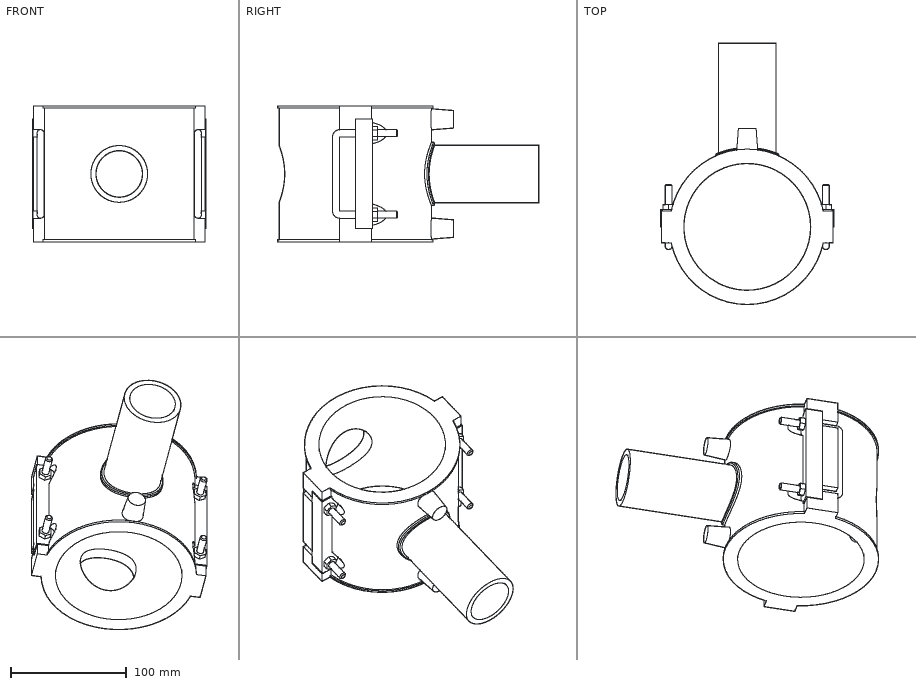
import cadquery as cq
import math

height = 118.0
bore_diameter = 109.5
body_diameter = 132.0
lip_diameter = 134.7
lip_height = 2.0

overall_length = 226.3
branch_end = overall_length - lip_diameter / 2
branch_diameter = 50.0
branch_bore_diameter = 40.0
collar_diameter = 55.0
collar_rise = 2.7
collar_chamfer = 1.0
window_diameter = 49.0

peg_end = 85.0
peg_tip_diameter = 15.5
peg_taper = 4.5
peg_offset = 47.3

ear_width = 148.7
ear_depth = 13.8
plate_width = 150.0
plate_depth = 15.0
plate_height = 94.8

rod_diameter = 6.0
rod_radius = rod_diameter / 2
bend_radius = 3.2
bridge_overlap = 0.2
bolt_x = 68.1
bolt_z = 35.3
bolt_end = 36.7
tip_chamfer = 1.02
slot_width = 6.3

nut_across_flats = 10.0
nut_thickness = 4.3
relief_diameter = 20.0
relief_taper = 9.0
relief_length = 20.4

sides = (-1, 1)


def cylinder_z(diameter, length):
    """Solid cylinder on the clamp axis, centred on the origin."""
    return cq.Workplane("XY").circle(diameter / 2).extrude(length / 2, both=True)


def cylinder_y(diameter, start, end, x=0, z=0):
    """Solid cylinder along Y from start to end."""
    base = cq.Vector(x, start, z)
    return cq.Workplane(cq.Solid.makeCylinder(diameter / 2, end - start, base, cq.Vector(0, 1, 0)))


def cone_y(start_diameter, end_diameter, start, end, x, z):
    """Tapered solid along Y from start to end."""
    base = cq.Vector(x, start, z)
    cone = cq.Solid.makeCone(start_diameter / 2, end_diameter / 2, end - start, base, cq.Vector(0, 1, 0))
    return cq.Workplane(cone)


def taper_change(length, angle):
    """Change in diameter of a cone over a length, for a half angle in degrees."""
    return 2 * length * math.tan(math.radians(angle))


def make_body():
    """Cylindrical body with a lip at each end and a relief around each nut."""
    body = cylinder_z(body_diameter, height)
    for side in sides:
        lip = cylinder_z(lip_diameter, lip_height)
        body = body.union(lip.translate((0, 0, side * (height - lip_height) / 2)))
    relief_end = plate_depth + relief_length
    relief_end_diameter = relief_diameter - taper_change(relief_length, relief_taper)
    for side_x in sides:
        for side_z in sides:
            x = side_x * bolt_x
            z = side_z * bolt_z
            relief = cone_y(relief_diameter, relief_end_diameter, plate_depth, relief_end, x, z)
            body = body.cut(relief)
    return body


def add_ears(body):
    """Add both ears with open rod slots in front, and the plate behind."""
    body = body.union(cq.Workplane("XY").box(ear_width, 2 * ear_depth, height))
    slot_length = plate_width / 2 - bolt_x
    slot_x = bolt_x + slot_length / 2
    for side_x in sides:
        for side_z in sides:
            slot = cq.Workplane("XY").box(slot_length, ear_depth, slot_width)
            body = body.cut(slot.translate((side_x * slot_x, -ear_depth / 2, side_z * bolt_z)))
    plate = cq.Workplane("XY").box(plate_width, plate_depth, plate_height)
    return body.union(plate.translate((0, plate_depth / 2, 0)))


def make_collar():
    """Chamfered saddle pad that follows the body around the branch."""
    pad_limit = cylinder_z(body_diameter + 2 * collar_rise, height)
    collar = cylinder_y(collar_diameter, 0, branch_end).intersect(pad_limit)
    return collar.faces(">Y").edges().chamfer(collar_chamfer)


def make_peg(side):
    """Tapered peg rooted inside the ring wall."""
    root = bore_diameter / 2
    root_diameter = peg_tip_diameter + taper_change(peg_end - root, peg_taper)
    return cone_y(root_diameter, peg_tip_diameter, root, peg_end, 0, side * peg_offset)


def make_nut(x, z):
    """Hexagon nut seated on the plate, with two corners pointing along Z."""
    return (
        cq.Workplane("XZ", origin=(x, plate_depth, z))
        .transformed(rotate=(0, 0, 90))
        .polygon(6, nut_across_flats / math.cos(math.pi / 6))
        .extrude(-nut_thickness)
    )


def make_u_bolt(side):
    """U-bolt lying against the front of an ear, with its two nuts."""
    x = side * bolt_x
    bridge_y = bridge_overlap - ear_depth - rod_radius
    bend_z = bolt_z - bend_radius
    leg_start = bridge_y + bend_radius
    bolt = cq.Workplane("XY").center(x, bridge_y).circle(rod_radius).extrude(bend_z, both=True)
    for end in sides:
        z = end * bolt_z
        leg = cylinder_y(rod_diameter, leg_start, bolt_end, x, z).faces(">Y").chamfer(tip_chamfer)
        bend = (
            cq.Workplane("XY", origin=(x, bridge_y, end * bend_z))
            .circle(rod_radius)
            .revolve(90, (0, bend_radius, 0), (-end, bend_radius, 0))
        )
        bolt = bolt.union(leg).union(bend).union(make_nut(x, z))
    return bolt


result = add_ears(make_body())
result = result.union(make_collar())
result = result.union(cylinder_y(branch_diameter, 0, branch_end))
for side in sides:
    result = result.union(make_peg(side))

result = result.cut(cylinder_z(bore_diameter, height))
result = result.cut(cylinder_y(branch_bore_diameter, 0, branch_end))
result = result.cut(cylinder_y(window_diameter, -lip_diameter / 2, 0))

for side in sides:
    result = result.union(make_u_bolt(side))